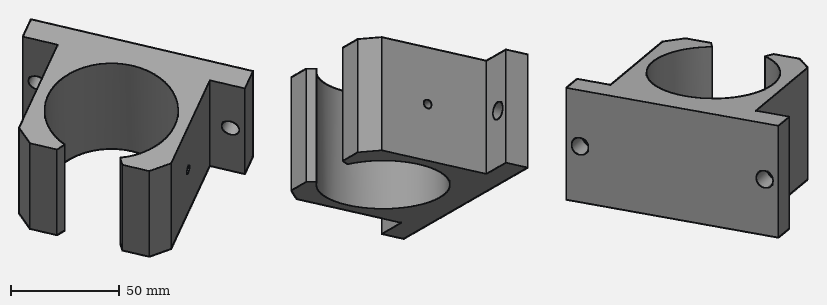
import cadquery as cq
import math

plate_width = 108.0
depth = 77.0
height = 56.0
plate_thickness = 12.0

body_width = 74.0
corner_chamfer = 8.0
bore_radius = 30.9
bore_setback = 45.0

mouth_inner_half = 13.4
mouth_outer_half = 15.9

mount_hole_diameter = 8.5
mount_hole_edge = 7.0
side_hole_diameter = 4.2
side_hole_y = 1.1

back_y = bore_setback
front_y = back_y - depth
plate_front_y = back_y - plate_thickness
mouth_inner_y = -math.sqrt(bore_radius**2 - mouth_inner_half**2)


def make_block():
    """Plate and chamfered clip body, still solid."""
    plate = cq.Workplane("XY").box(plate_width, plate_thickness, height, centered=(True, False, False))
    plate = plate.translate((0, plate_front_y, 0))
    body = cq.Workplane("XY").box(body_width, depth, height, centered=(True, False, False))
    body = body.translate((0, front_y, 0)).faces("<Y").edges("|Z").chamfer(corner_chamfer)
    return plate.union(body)


def make_clip_opening():
    """Round bore joined to the flared mouth."""
    return (
        cq.Workplane("XY")
        .moveTo(mouth_inner_half, mouth_inner_y)
        .threePointArc((0, bore_radius), (-mouth_inner_half, mouth_inner_y))
        .lineTo(-mouth_outer_half, front_y)
        .lineTo(mouth_outer_half, front_y)
        .close()
        .extrude(height)
    )


def make_mount_holes():
    """Two holes through the plate, one near each end."""
    spacing = plate_width - 2 * mount_hole_edge
    return (
        cq.Workplane("XZ", origin=(0, back_y, height / 2))
        .pushPoints([(-spacing / 2, 0), (spacing / 2, 0)])
        .circle(mount_hole_diameter / 2)
        .extrude(plate_thickness)
    )


def make_side_hole():
    """Small hole through the +X wall of the bore."""
    return (
        cq.Workplane("YZ", origin=(0, side_hole_y, height / 2))
        .circle(side_hole_diameter / 2)
        .extrude(body_width / 2)
    )


result = make_block().cut(make_clip_opening()).cut(make_mount_holes()).cut(make_side_hole())